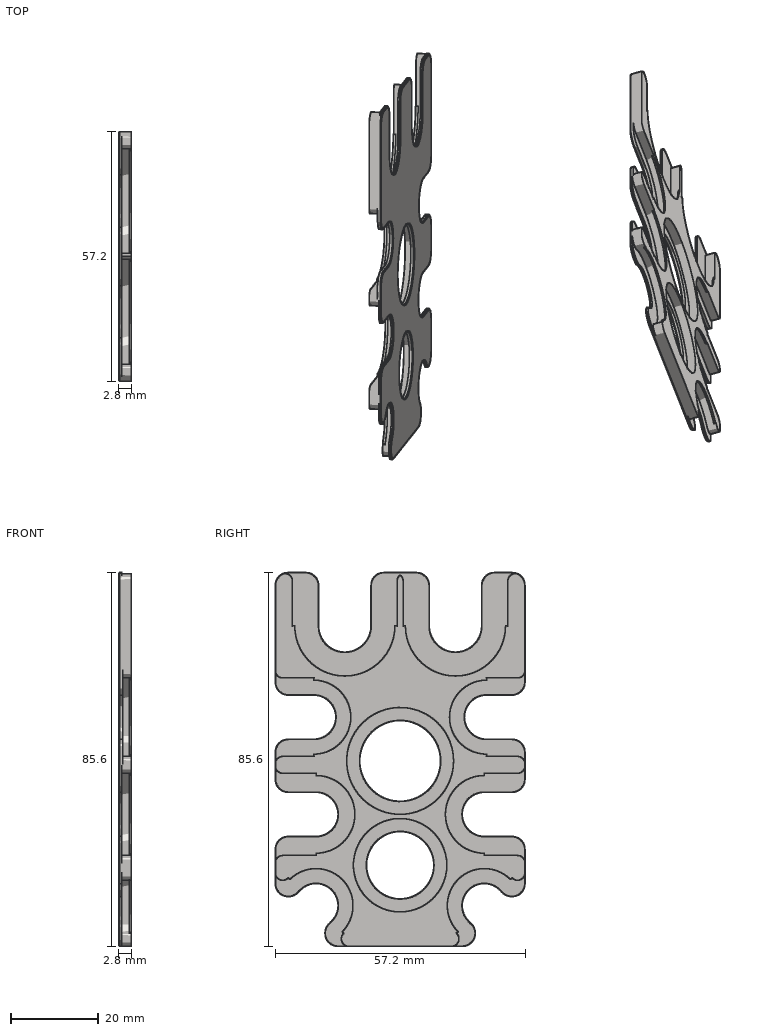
import cadquery as cq
import math

height = 85.6
width = 57.2
thickness = 2.8
outer_corner_radius = 3.0

plate_thickness = 0.6
thick_plate = 0.85
front_chamfer = 0.21
pocket_corner_radius = 1.7
lip_height = 0.5

front_x = -thickness / 2
back_x = thickness / 2
half_width = width / 2
half_height = height / 2

top_slot_y = 12.7
top_slot_reach = 12.2
top_slot_radius = 6.0
top_pocket_radius = 12.0

side_slot_radius = 5.05
upper_slot_reach = 8.8
upper_slot_drop = 33.1
upper_pocket_radius = 9.0
lower_slot_reach = 9.3
lower_slot_drop = 55.4
lower_pocket_radius = 9.4
corner_slot_reach = 9.3
corner_pocket_radius = 9.0

top_edge = (top_slot_reach, 0)
upper_edge = (upper_slot_reach, 0)
lower_edge = (lower_slot_reach, 0)
corner_edge = (corner_slot_reach, 45)

corner_arc_u = top_slot_reach - outer_corner_radius
corner_arc_v = half_width - outer_corner_radius - top_slot_y
mouth_arc_v = top_pocket_radius + pocket_corner_radius
touch_angle = math.asin((mouth_arc_v - corner_arc_v) / (outer_corner_radius - pocket_corner_radius))
touch_reach = (
    corner_arc_u * math.cos(touch_angle) + corner_arc_v * math.sin(touch_angle) + outer_corner_radius
)
top_pocket_edge = (touch_reach, math.degrees(touch_angle))

right_slots = [
    ((top_slot_y, half_height - top_slot_reach), 90,
     top_edge, top_pocket_edge, top_slot_radius, top_pocket_radius, plate_thickness),
    ((half_width - upper_slot_reach, half_height - upper_slot_drop), 0,
     upper_edge, upper_edge, side_slot_radius, upper_pocket_radius, thick_plate),
    ((half_width - lower_slot_reach, half_height - lower_slot_drop), 0,
     lower_edge, lower_edge, side_slot_radius, lower_pocket_radius, plate_thickness),
    ((half_width - corner_slot_reach, corner_slot_reach - half_height), -45,
     corner_edge, corner_edge, side_slot_radius, corner_pocket_radius, plate_thickness),
]

round_holes = [
    (43.1, 18.5, 24.5),
    (67.0, 15.4, 21.4),
]


def mouth_prism(radius, corner_radius, edge, start_x, end_x):
    """Slot opening along +Y from an arc about the X axis, with rounded corners where it meets the edge.

    The edge is given as its distance and tilt: 0 for a slot square to one edge, 45 degrees for
    a slot opening through a corner.
    """
    reach, edge_tilt = edge
    tilt = math.radians(edge_tilt)
    corner_v = radius + corner_radius
    corner_u = (reach - corner_radius - corner_v * math.sin(tilt)) / math.cos(tilt)
    bisector = (tilt - math.pi / 2) / 2

    def on_corner(angle):
        return (corner_u + corner_radius * math.cos(angle), corner_v + corner_radius * math.sin(angle))

    def mirrored(point):
        return (point[0], -point[1])

    edge_point = on_corner(tilt)
    middle_point = on_corner(bisector)
    wall_point = (corner_u, radius)
    apex = (reach / math.cos(tilt), 0)
    return (
        cq.Workplane("YZ", origin=(start_x, 0, 0))
        .moveTo(*edge_point)
        .threePointArc(middle_point, wall_point)
        .lineTo(0, radius)
        .threePointArc((-radius, 0), (0, -radius))
        .lineTo(*mirrored(wall_point))
        .threePointArc(mirrored(middle_point), mirrored(edge_point))
        .lineTo(*apex)
        .close()
        .extrude(end_x - start_x)
    )


def lip_ring(radius):
    """Half ring of triangular section on the closed (-Y) side of a pocket, flush with the back."""
    return (
        cq.Workplane("XY")
        .polyline([
            (back_x - lip_height, -radius),
            (back_x, -radius),
            (back_x, lip_height - radius),
        ])
        .close()
        .revolve(180, (0, 0, 0), (1, 0, 0))
        .rotate((0, 0, 0), (1, 0, 0), -90)
    )


def placed(shape, centre, direction):
    """Turn a shape from +Y to the given direction in the YZ plane and move it to its centre."""
    return shape.rotate((0, 0, 0), (1, 0, 0), direction).translate((0, centre[0], centre[1]))


def bore(centre_z, diameter, start_x, end_x):
    return (
        cq.Workplane("YZ", origin=(start_x, 0, centre_z))
        .circle(diameter / 2)
        .extrude(end_x - start_x)
    )


body = cq.Workplane("XY").box(thickness, width, height).edges("|X").fillet(outer_corner_radius)

for centre, direction, slot_edge, pocket_edge, slot_radius, pocket_radius, plate in right_slots:
    slot = mouth_prism(slot_radius, outer_corner_radius, slot_edge, front_x, back_x)
    pocket = mouth_prism(pocket_radius, pocket_corner_radius, pocket_edge, front_x + plate, back_x)
    pocket = pocket.cut(lip_ring(pocket_radius))
    opposite_centre = (-centre[0], centre[1])
    for place, angle in [(centre, direction), (opposite_centre, 180 - direction)]:
        body = body.cut(placed(slot, place, angle))
        body = body.cut(placed(pocket, place, angle))

for drop, hole_diameter, counterbore_diameter in round_holes:
    centre_z = half_height - drop
    body = body.cut(bore(centre_z, hole_diameter, front_x, back_x))
    body = body.cut(bore(centre_z, counterbore_diameter, front_x + thick_plate, back_x))

result = body.faces("<X").chamfer(front_chamfer)